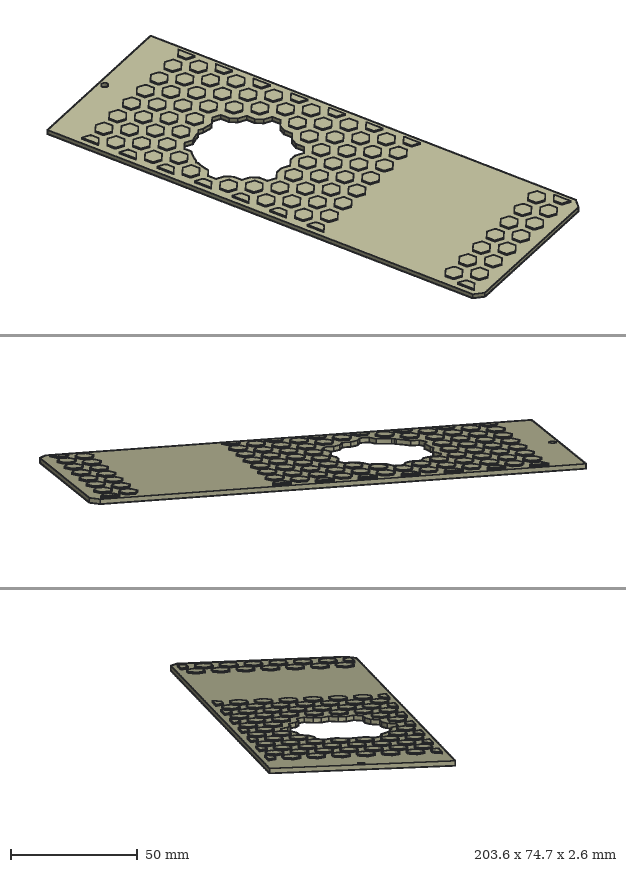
import cadquery as cq
import math

PLATE_LENGTH = 203.6
PLATE_WIDTH = 74.7
TOTAL_HEIGHT = 2.6
PAD_HEIGHT = 0.6
PLATE_THICKNESS = TOTAL_HEIGHT - PAD_HEIGHT
CORNER_CHAMFER = 3.5

PIN_HOLE_DIAMETER = 2.9
PIN_HOLE_EDGE_DISTANCE = 2.6

HEX_FLATS = 6.7
HEX_RADIUS = HEX_FLATS / math.sqrt(3)
COLUMN_COUNT = 21
COLUMN_SPAN = 176.8
COLUMN_PITCH = COLUMN_SPAN / (COLUMN_COUNT - 1)
ROW_PITCH = 10.0
FIRST_COLUMN_EDGE_DISTANCE = 18.5
FIRST_COLUMN_X = FIRST_COLUMN_EDGE_DISTANCE - PLATE_LENGTH / 2
ROWS_IN_ODD_COLUMN = 7
BARE_COLUMNS = range(13, 19)
FIELD_WIDTH = ROWS_IN_ODD_COLUMN * ROW_PITCH

OPENING_COLUMN = 6
OPENING_RINGS = 2
OPENING_X = FIRST_COLUMN_X + OPENING_COLUMN * COLUMN_PITCH
OPENING_Y = -ROW_PITCH / 2

BORE_DIAMETER = 38.7
BORE_EDGE_DISTANCE = 70.3
BORE_X = BORE_EDGE_DISTANCE - PLATE_LENGTH / 2
BORE_Y = -6.0


def cluster_positions():
    """Centres of the hexagons that make up the opening."""
    positions = []
    for column in range(-OPENING_RINGS, OPENING_RINGS + 1):
        rows = 2 * OPENING_RINGS + 1 - abs(column)
        for row in range(rows):
            x = OPENING_X + column * COLUMN_PITCH
            y = OPENING_Y + (row - (rows - 1) / 2) * ROW_PITCH
            positions.append((x, y))
    return positions


def is_in_opening(x, y):
    return any(math.hypot(x - cx, y - cy) < HEX_RADIUS for cx, cy in cluster_positions())


def pad_positions():
    """Centres of all raised pads; even columns hold one more pad than odd ones."""
    positions = []
    for column in range(COLUMN_COUNT):
        if column in BARE_COLUMNS:
            continue
        rows = ROWS_IN_ODD_COLUMN + (column + 1) % 2
        for row in range(rows):
            x = FIRST_COLUMN_X + column * COLUMN_PITCH
            y = (row - (rows - 1) / 2) * ROW_PITCH
            if not is_in_opening(x, y):
                positions.append((x, y))
    return positions


def hexagons(positions, base_z, height):
    return (
        cq.Workplane("XY", origin=(0, 0, base_z))
        .pushPoints(positions)
        .polygon(6, 2 * HEX_RADIUS)
        .extrude(height)
    )


def make_plate():
    plate = cq.Workplane("XY").box(PLATE_LENGTH, PLATE_WIDTH, PLATE_THICKNESS, centered=(True, True, False))
    plate = plate.edges("|Z and >X").chamfer(CORNER_CHAMFER)
    pin_hole = (
        cq.Workplane("XY")
        .center(PIN_HOLE_EDGE_DISTANCE - PLATE_LENGTH / 2, 0)
        .circle(PIN_HOLE_DIAMETER / 2)
        .extrude(PLATE_THICKNESS)
    )
    return plate.cut(pin_hole)


def make_pads():
    field = cq.Workplane("XY").box(PLATE_LENGTH, FIELD_WIDTH, TOTAL_HEIGHT, centered=(True, True, False))
    return hexagons(pad_positions(), PLATE_THICKNESS, PAD_HEIGHT).intersect(field)


def make_opening():
    """Cluster hexagons, with the gaps between them filled by one large hexagon and the bore."""
    overshoot = HEX_RADIUS / math.sqrt(3)
    tip_y = OPENING_RINGS * ROW_PITCH + overshoot
    side_x = OPENING_RINGS * COLUMN_PITCH + overshoot * math.cos(math.pi / 6)
    side_y = OPENING_RINGS * ROW_PITCH / 2 + overshoot * math.sin(math.pi / 6)
    core = (
        cq.Workplane("XY")
        .center(OPENING_X, OPENING_Y)
        .polyline([
            (0, tip_y),
            (side_x, side_y),
            (side_x, -side_y),
            (0, -tip_y),
            (-side_x, -side_y),
            (-side_x, side_y),
        ])
        .close()
        .extrude(PLATE_THICKNESS)
    )
    bore = cq.Workplane("XY").center(BORE_X, BORE_Y).circle(BORE_DIAMETER / 2).extrude(PLATE_THICKNESS)
    return core.union(hexagons(cluster_positions(), 0, PLATE_THICKNESS)).union(bore)


result = make_plate().cut(make_opening()).union(make_pads())